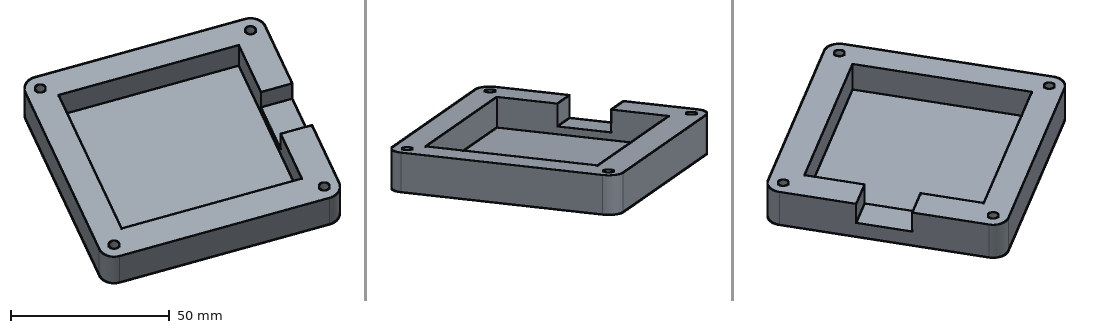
import cadquery as cq

width = 78.3
length = 80.4
height = 13.0
corner_radius = 5.0

hole_diameter = 3.4
hole_inset = corner_radius

left_wall = 9.5
right_wall = 10.45
front_wall = 9.5
back_wall = 10.5
floor_thickness = 3.0

notch_width = 18.25
notch_depth = 7.5


def make_block():
    block = cq.Workplane("XY").box(width, length, height, centered=(True, True, False))
    return block.edges("|Z").fillet(corner_radius)


def make_pocket():
    pocket_width = width - left_wall - right_wall
    pocket_length = length - front_wall - back_wall
    pocket_depth = height - floor_thickness
    pocket = cq.Workplane("XY").box(pocket_width, pocket_length, pocket_depth, centered=False)
    return pocket.translate((left_wall - width / 2, front_wall - length / 2, floor_thickness))


def make_notch():
    notch = cq.Workplane("XY").box(notch_width, back_wall, notch_depth, centered=(True, False, False))
    return notch.translate((0, length / 2 - back_wall, height - notch_depth))


def make_screw_holes():
    spacing_x = width - 2 * hole_inset
    spacing_y = length - 2 * hole_inset
    corners = cq.Workplane("XY").rect(spacing_x, spacing_y, forConstruction=True).vertices()
    return corners.circle(hole_diameter / 2).extrude(height)


result = make_block().cut(make_pocket()).cut(make_notch()).cut(make_screw_holes())